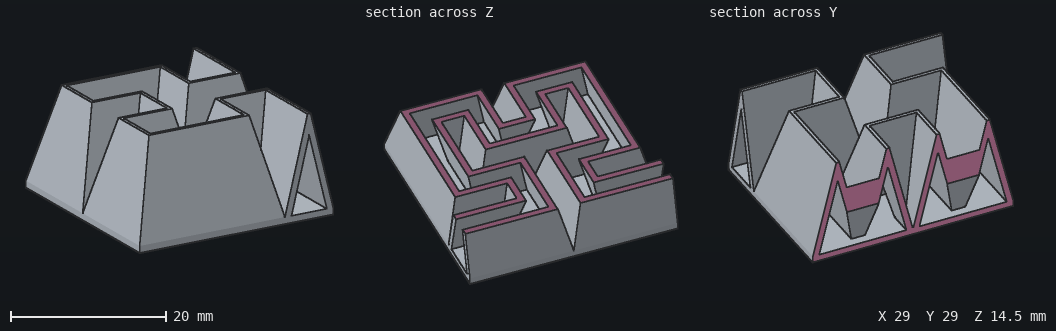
import cadquery as cq

side = 29.0
height = 14.5
cells_per_side = 4
base_thickness = 1.0
crest_width = 0.5
wall_thickness = 1.0

cell = side / cells_per_side
ridge_height = height - base_thickness
slope = ridge_height / ((cell - crest_width) / 2)
tunnel_width = cell - 2 * wall_thickness
tunnel_height = slope * tunnel_width / 2

path_cells = [
    (-1, 3), (1, 3), (1, 2), (0, 2), (0, 0), (1, 0), (1, 1),
    (2, 1), (2, 0), (3, 0), (3, 2), (2, 2), (2, 3), (4, 3),
]


def cell_center(column, row):
    return ((column + 0.5) * cell, (row + 0.5) * cell)


def tapered_prism(plane, bottom_width, top_width, rise, depth):
    """Symmetric trapezoid (triangle if top_width is 0) extruded both ways."""
    corners = [(-bottom_width / 2, 0), (bottom_width / 2, 0)]
    if top_width > 0:
        corners += [(top_width / 2, rise), (-top_width / 2, rise)]
    else:
        corners += [(0, rise)]
    return cq.Workplane(plane).polyline(corners).close().extrude(depth / 2, both=True)


def hipped_segment(start, end, bottom_width, top_width, rise):
    """Straight ridge whose four sides, ends included, lean inwards."""
    run_x = abs(end[0] - start[0])
    run_y = abs(end[1] - start[1])
    across_x = tapered_prism("XZ", run_x + bottom_width, run_x + top_width, rise, run_y + bottom_width)
    across_y = tapered_prism("YZ", run_y + bottom_width, run_y + top_width, rise, run_x + bottom_width)
    middle = ((start[0] + end[0]) / 2, (start[1] + end[1]) / 2, base_thickness)
    return across_x.intersect(across_y).translate(middle)


def ridge_along_path(bottom_width, top_width, rise):
    """Join the segments; overlapping hipped ends form the mitred corners."""
    points = [cell_center(*path_cell) for path_cell in path_cells]
    ridge = cq.Workplane("XY")
    for start, end in zip(points, points[1:]):
        ridge = ridge.add(hipped_segment(start, end, bottom_width, top_width, rise))
    return ridge.combine()


base = cq.Workplane("XY").box(side, side, base_thickness, centered=False)
envelope = cq.Workplane("XY").box(side, side, height, centered=False)

ridge = ridge_along_path(cell, crest_width, ridge_height)
tunnel = ridge_along_path(tunnel_width, 0, tunnel_height)

result = base.union(ridge.intersect(envelope)).cut(tunnel)